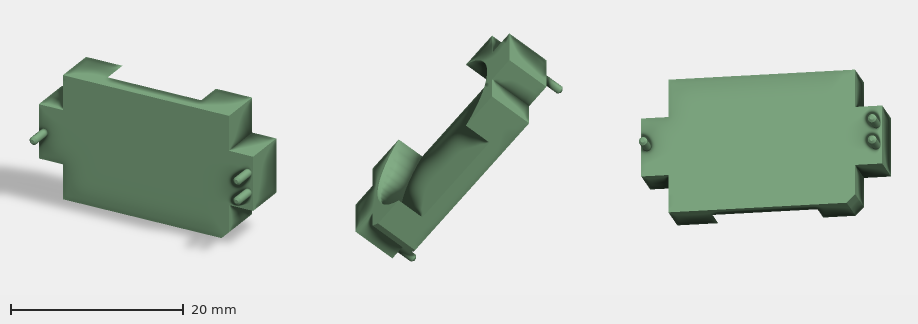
import cadquery as cq

total_length = 28.4
total_depth = 8.3
body_length = 22.0
body_height = 16.0
body_depth = 5.5
ear_height = 7.0
corner_chamfer = 1.0

pocket_diameter = 20.22
pocket_depth = 3.5

pin_diameter = 1.0
pin_span = 27.0
pin_pitch = 2.55
pin_tip_chamfer = 0.25
pin_length = total_depth - body_depth



def block(length, height):
    """Full-depth block centred on the Y axis."""
    return cq.Workplane("XY").box(length, body_depth, height).translate((0, body_depth / 2, 0))


def make_body():
    """Main block with one chamfered lower corner and an ear at each end."""
    main = block(body_length, body_height).edges(">X and <Z").chamfer(corner_chamfer)
    return main.union(block(total_length, ear_height))


def make_pocket():
    """Cylinder that clears the cell from the back face inward."""
    back_plane = cq.Workplane("XZ", origin=(0, body_depth, 0))
    return back_plane.circle(pocket_diameter / 2).extrude(pocket_depth)


def make_pins():
    """One pin at the -X end and a pair at the +X end, with chamfered tips."""
    pin_x = pin_span / 2
    places = [(-pin_x, 0), (pin_x, pin_pitch / 2), (pin_x, -pin_pitch / 2)]
    pins = cq.Workplane("XZ").pushPoints(places).circle(pin_diameter / 2).extrude(pin_length)
    return pins.faces("<Y").chamfer(pin_tip_chamfer)


result = make_body().cut(make_pocket()).union(make_pins())